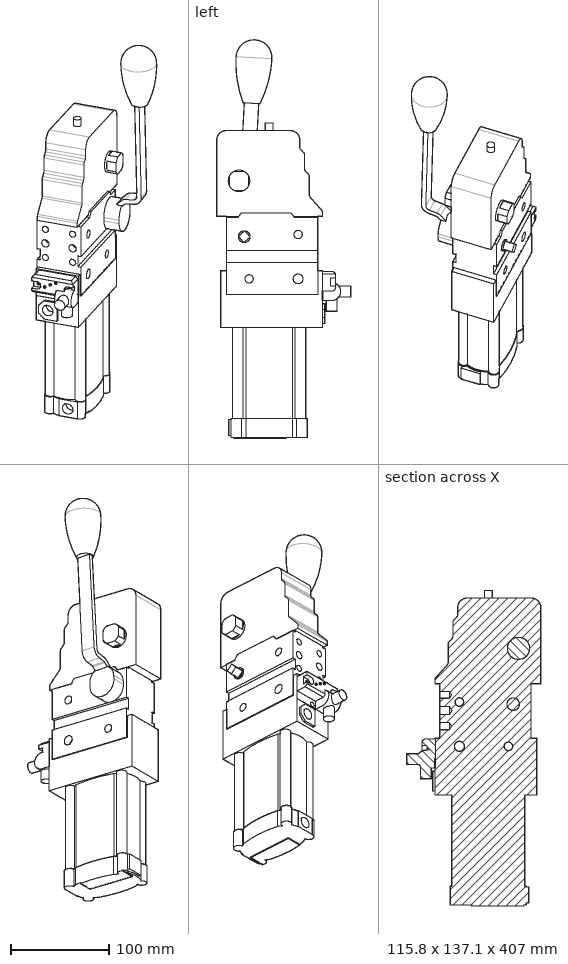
import cadquery as cq
import math


HEAD_HALF_X = 22.0
HEAD_BACK_Y = 53.6
HEAD_BOTTOM_Z = 226.7
HEAD_TOP_Z = 314.4
HEAD_CORNER_R = 10.0
HEAD_NOSE_Y = -54.5
HEAD_NOSE_Z = 232.3
STEP_FRONTS = (-31.5, -36.3, -41.2)
STEP_TOPS = (295.7, 273.6, 247.1)
STEP_R = 4.0
NOSE_R = 3.0
INDICATOR_D = 8.0
INDICATOR_TOP_Z = 322.0

BODY_BACK_Y = 43.7
BODY_FRONT_Y = -49.8
BODY_BOTTOM_Z = 147.0
CORE_HALF_X = 20.7
FACE_HALF_X = 24.2
FACE_TOP_Z = 225.4
SLOT_TOP_Z = 191.8
SLOT_BOTTOM_Z = 179.8
TONGUE_Z = 230.4
TONGUE_BACK_Y = 32.0
TONGUE_FRONT_Y = -26.0
TONGUE_SLOPE_Y = 3.8

TAP_D = 6.65
DOWEL_D = 8.0
MOUNT_HOLE_DEPTH = 10.0
DRILL_TIP_ANGLE = 118.0
FRONT_HOLE_X = 15.0
FRONT_HOLES = ((215.5, TAP_D), (199.5, DOWEL_D), (183.5, TAP_D))
SIDE_TAP_D = 8.5
SIDE_DOWEL_D = 10.0
SIDE_HOLES = (
    (-29.6, 208.2, SIDE_TAP_D),
    (20.4, 163.0, SIDE_TAP_D),
    (-29.6, 163.0, SIDE_DOWEL_D),
)

FLANGE_HALF_X = 23.2
FLANGE_BACK_Y = 49.5
FLANGE_FRONT_Y = -54.5
FLANGE_BOTTOM_Z = 113.3
FLANGE_TOP_Z = 171.4
SENSOR_SEAT_Y = -54.3
SENSOR_SEAT_Z = 141.0
CABLE_HOLE_D = 5.49
CABLE_HOLE_Z = 144.6
CABLE_HOLE_DEPTH = 6.0
PORT_D = 11.45
PORT_DEPTH = 10.0
PORT_X = -9.5
PORT_Z = 127.5
PORT_PAD_SIZE = 20.6
PORT_PAD_THICKNESS = 2.4
PORT_PAD_CHAMFER = 6.3

TUBE_HALF_X = 22.0
TUBE_HALF_Y = 37.5
TUBE_SIDE_HALF_X = 21.5
COLUMN_D = 11.0
BARREL_SIDE_HALF_Y = 23.8
BARREL_END_HALF_X = 11.5
BARREL_BULGE = 2.6
CAP_TOP_Z = 20.3
CAP_BOTTOM_Z = 1.0
CAP_HALF_Y = 38.9
CAP_PAD_X = (-4.5, 16.0)
CAP_PAD_FRONT_Y = -39.1
CAP_PORT_X = 5.2
CAP_PORT_Z = 10.5
CAP_REAR_PAD_Y = 41.2
CAP_REAR_PAD_Z = (3.0, 19.7)
FOOT_X = (3.5, TUBE_HALF_X)
FOOT_Y = (-17.0, 36.0)

ARM_Y = 30.7
ARM_Z = 263.0
ARM_D = 22.0
ARM_SQUARE = 19.4
ARM_HALF_LENGTH = 34.2

PIVOT_Y = 25.3
PIVOT_Z = 206.0
LEVER_TILT = 3.1
SHAFT_D = 12.0
SHAFT_SQUARE = SHAFT_D / math.sqrt(2)
SHAFT_SQUARE_X = -25.8
SHAFT_END_X = -36.0
COLLAR_D = 17.0
HUB_INNER_X = 25.2
HUB_OUTER_X = 41.9
HUB_R = 15.0
HUB_RISE = 4.0
STEM_X = 61.35
STEM_WIDTH = 15.0
STEM_THICKNESS = 5.0
STEM_BEND_Z = 236.6
STEM_BEND_R = 7.0
STEM_FOOT_BEND_R = 5.0
STEM_RAMP_ANGLE = 7.0
STEM_RAMP_LENGTH = 8.5
STEM_FOOT_ANGLE = 42.0
STEM_FOOT_LENGTH = 8.0
KNOB_R = 18.4
KNOB_CENTRE_Z = 388.85
KNOB_LENGTH = 46.5
KNOB_MID_DROP = 25.6
KNOB_MID_R = 15.6
KNOB_END_R = 8.7

COVER_HALF_X = 22.6
COVER_FRONT_Y = -68.0
COVER_BOTTOM_Z = 150.6
COVER_TOP_Z = 170.6
COVER_CHAMFER = 2.6
COVER_SCREW_X = 17.0
COVER_SCREW_Z = 159.8
SCREW_HEAD_D = 8.38
SCREW_RECESS_DEPTH = 5.2
SCREW_SOCKET_D = 4.13
SCREW_SOCKET_DEPTH = 2.0
LED_D = 2.5
LED_DEPTH = 1.0
LEDS = ((3.7, 166.0), (-2.4, 162.8), (-8.6, 159.3))
CONNECTOR_X = (4.5, COVER_HALF_X)
CONNECTOR_Y = -63.8
CONNECTOR_Z = 150.0
CONNECTOR_R = 9.2
PLUG_D = 11.45
PLUG_X = 14.4
PLUG_FRONT_Y = -83.5
PLUG_BOTTOM_Z = 129.7


def block(x_range, y_range, z_range):
    """Axis-aligned box between the given limits."""
    sizes = [max(r) - min(r) for r in (x_range, y_range, z_range)]
    corner = (min(x_range), min(y_range), min(z_range))
    return cq.Workplane("XY").box(*sizes, centered=False).translate(corner)


def rod(start, direction, diameter, length):
    """Round bar from a start point along a direction."""
    axis = cq.Vector(*direction)
    return cq.Workplane(cq.Solid.makeCylinder(diameter / 2, length, cq.Vector(*start), axis))


def drilled_hole(start, direction, diameter, depth):
    """Cutter for a blind hole with a conical drill tip."""
    axis = cq.Vector(*direction)
    tip_start = cq.Vector(*start) + axis * depth
    tip_length = diameter / 2 / math.tan(math.radians(DRILL_TIP_ANGLE / 2))
    tip = cq.Solid.makeCone(diameter / 2, 0, tip_length, tip_start, axis)
    return rod(start, direction, diameter, depth).union(cq.Workplane(tip))


def extrude_across(outline, half_width):
    """Extrude a Y-Z outline symmetrically about X = 0."""
    return cq.Workplane("YZ").polyline(outline).close().extrude(half_width, both=True)


def make_head():
    outline = [(HEAD_BACK_Y, HEAD_BOTTOM_Z), (HEAD_BACK_Y, HEAD_TOP_Z), (STEP_FRONTS[0], HEAD_TOP_Z)]
    step_edges = []
    for i in range(len(STEP_FRONTS) - 1):
        drop = STEP_FRONTS[i] - STEP_FRONTS[i + 1]
        step_edges.append((STEP_FRONTS[i], STEP_TOPS[i]))
        step_edges.append((STEP_FRONTS[i + 1], STEP_TOPS[i] - drop))
    nose_edges = [(STEP_FRONTS[-1], STEP_TOPS[-1]), (HEAD_NOSE_Y, HEAD_NOSE_Z)]
    outline += step_edges + nose_edges + [(HEAD_NOSE_Y, HEAD_BOTTOM_Z)]
    head = extrude_across(outline, HEAD_HALF_X)

    def round_edges(body, corners, radius):
        for y, z in corners:
            body = body.edges(cq.selectors.NearestToPointSelector((0, y, z))).fillet(radius)
        return body

    head = round_edges(head, outline[1:3], HEAD_CORNER_R)
    head = round_edges(head, step_edges, STEP_R)
    head = round_edges(head, nose_edges, NOSE_R)
    indicator = rod((0, 0, HEAD_TOP_Z), (0, 0, 1), INDICATOR_D, INDICATOR_TOP_Z - HEAD_TOP_Z)
    return head.union(indicator)


def make_mounting_body():
    y_range = (BODY_FRONT_Y, BODY_BACK_Y)
    core = block((-CORE_HALF_X, CORE_HALF_X), y_range, (BODY_BOTTOM_Z, HEAD_BOTTOM_Z))
    lower_faces = block((-FACE_HALF_X, FACE_HALF_X), y_range, (BODY_BOTTOM_Z, SLOT_BOTTOM_Z))
    upper_outline = [
        (BODY_BACK_Y, SLOT_TOP_Z),
        (BODY_BACK_Y, FACE_TOP_Z),
        (TONGUE_BACK_Y, FACE_TOP_Z),
        (TONGUE_BACK_Y - TONGUE_SLOPE_Y, TONGUE_Z),
        (TONGUE_FRONT_Y + TONGUE_SLOPE_Y, TONGUE_Z),
        (TONGUE_FRONT_Y, FACE_TOP_Z),
        (BODY_FRONT_Y, FACE_TOP_Z),
        (BODY_FRONT_Y, SLOT_TOP_Z),
    ]
    upper_faces = extrude_across(upper_outline, FACE_HALF_X)
    return core.union(lower_faces).union(upper_faces)


def make_flange():
    x_range = (-FLANGE_HALF_X, FLANGE_HALF_X)
    flange = block(x_range, (FLANGE_FRONT_Y, FLANGE_BACK_Y), (FLANGE_BOTTOM_Z, FLANGE_TOP_Z))
    seat = block(x_range, (FLANGE_FRONT_Y, SENSOR_SEAT_Y), (SENSOR_SEAT_Z, FLANGE_TOP_Z))
    pad_half = PORT_PAD_SIZE / 2
    pad = block(
        (PORT_X - pad_half, PORT_X + pad_half),
        (FLANGE_FRONT_Y - PORT_PAD_THICKNESS, FLANGE_FRONT_Y),
        (PORT_Z - pad_half, PORT_Z + pad_half),
    )
    pad = pad.edges("|Y and <X").chamfer(PORT_PAD_CHAMFER)
    port = rod((PORT_X, FLANGE_FRONT_Y - PORT_PAD_THICKNESS, PORT_Z), (0, 1, 0), PORT_D, PORT_DEPTH)
    cable_hole = rod((0, SENSOR_SEAT_Y, CABLE_HOLE_Z), (0, 1, 0), CABLE_HOLE_D, CABLE_HOLE_DEPTH)
    return flange.cut(seat).union(pad).cut(port).cut(cable_hole)


def cylinder_section(side_half_x, half_y, z_range):
    """Barrel with four bulged sides and a round column at each corner."""
    height = z_range[1] - z_range[0]
    column_x = TUBE_HALF_X - COLUMN_D / 2
    column_y = half_y - COLUMN_D / 2
    side_x = side_half_x - BARREL_BULGE
    end_y = half_y - BARREL_BULGE
    barrel = (
        cq.Workplane("XY", origin=(0, 0, z_range[0]))
        .moveTo(side_x, -BARREL_SIDE_HALF_Y)
        .threePointArc((side_half_x, 0), (side_x, BARREL_SIDE_HALF_Y))
        .lineTo(BARREL_END_HALF_X, end_y)
        .threePointArc((0, half_y), (-BARREL_END_HALF_X, end_y))
        .lineTo(-side_x, BARREL_SIDE_HALF_Y)
        .threePointArc((-side_half_x, 0), (-side_x, -BARREL_SIDE_HALF_Y))
        .lineTo(-BARREL_END_HALF_X, -end_y)
        .threePointArc((0, -half_y), (BARREL_END_HALF_X, -end_y))
        .close()
        .extrude(height)
    )
    for x in (-column_x, column_x):
        for y in (-column_y, column_y):
            barrel = barrel.union(rod((x, y, z_range[0]), (0, 0, 1), COLUMN_D, height))
    return barrel


def make_cylinder():
    tube = cylinder_section(TUBE_SIDE_HALF_X, TUBE_HALF_Y, (CAP_TOP_Z, FLANGE_BOTTOM_Z))
    cap = cylinder_section(TUBE_HALF_X, CAP_HALF_Y, (CAP_BOTTOM_Z, CAP_TOP_Z))
    front_pad = block(CAP_PAD_X, (CAP_PAD_FRONT_Y, 0), (CAP_BOTTOM_Z, CAP_TOP_Z))
    rear_pad = block(CAP_PAD_X, (0, CAP_REAR_PAD_Y), CAP_REAR_PAD_Z)
    foot = block(FOOT_X, FOOT_Y, (0, CAP_BOTTOM_Z))
    foot = foot.intersect(cylinder_section(TUBE_HALF_X, CAP_HALF_Y, (0, CAP_BOTTOM_Z)))
    port = rod((CAP_PORT_X, CAP_PAD_FRONT_Y, CAP_PORT_Z), (0, 1, 0), PORT_D, PORT_DEPTH)
    return tube.union(cap).union(front_pad).union(rear_pad).union(foot).cut(port)


def make_housing():
    housing = make_head().union(make_mounting_body()).union(make_flange()).union(make_cylinder())
    for z, diameter in FRONT_HOLES:
        for x in (-FRONT_HOLE_X, FRONT_HOLE_X):
            housing = housing.cut(drilled_hole((x, BODY_FRONT_Y, z), (0, 1, 0), diameter, MOUNT_HOLE_DEPTH))
    for y, z, diameter in SIDE_HOLES:
        for side in (-1, 1):
            start = (side * FACE_HALF_X, y, z)
            housing = housing.cut(drilled_hole(start, (-side, 0, 0), diameter, MOUNT_HOLE_DEPTH))
    arm_bore = rod((-FACE_HALF_X, ARM_Y, ARM_Z), (1, 0, 0), ARM_D, 2 * FACE_HALF_X)
    lever_bore = rod((-FACE_HALF_X, PIVOT_Y, PIVOT_Z), (1, 0, 0), SHAFT_D, 2 * FACE_HALF_X)
    return housing.cut(arm_bore).cut(lever_bore)


def make_arm_shaft():
    """Round shaft with both ends milled to a square with rounded corners."""
    shaft = rod((-ARM_HALF_LENGTH, ARM_Y, ARM_Z), (1, 0, 0), ARM_D, 2 * ARM_HALF_LENGTH)
    journal = rod((-FACE_HALF_X, ARM_Y, ARM_Z), (1, 0, 0), ARM_D, 2 * FACE_HALF_X)
    square = cq.Workplane("XY").box(2 * ARM_HALF_LENGTH, ARM_SQUARE, ARM_SQUARE).translate((0, ARM_Y, ARM_Z))
    return shaft.intersect(square).union(journal)


def make_stem():
    """Flat bar that runs down from the knob and cranks inwards to the hub."""
    ramp = math.radians(STEM_RAMP_ANGLE)
    foot = math.radians(STEM_FOOT_ANGLE)

    def on_upper_bend(angle):
        """Point on the upper bend where the bar slopes at this angle below level."""
        x = STEM_X - STEM_BEND_R + STEM_BEND_R * math.sin(angle)
        return (x, STEM_BEND_Z - STEM_BEND_R * math.cos(angle))

    upper_bend_end = on_upper_bend(ramp)
    foot_bend_start = (
        upper_bend_end[0] - STEM_RAMP_LENGTH * math.cos(ramp),
        upper_bend_end[1] - STEM_RAMP_LENGTH * math.sin(ramp),
    )

    def on_foot_bend(angle):
        """Point on the lower bend where the bar slopes at this angle below level."""
        x = foot_bend_start[0] - STEM_FOOT_BEND_R * (math.sin(angle) - math.sin(ramp))
        return (x, foot_bend_start[1] - STEM_FOOT_BEND_R * (math.cos(ramp) - math.cos(angle)))

    foot_bend_end = on_foot_bend(foot)
    foot_end = (
        foot_bend_end[0] - STEM_FOOT_LENGTH * math.cos(foot),
        foot_bend_end[1] - STEM_FOOT_LENGTH * math.sin(foot),
    )
    path = (
        cq.Workplane("XZ", origin=(0, PIVOT_Y, 0))
        .moveTo(STEM_X, KNOB_CENTRE_Z)
        .lineTo(STEM_X, STEM_BEND_Z)
        .threePointArc(on_upper_bend((ramp + math.pi / 2) / 2), upper_bend_end)
        .lineTo(*foot_bend_start)
        .threePointArc(on_foot_bend((ramp + foot) / 2), foot_bend_end)
        .lineTo(*foot_end)
    )
    section = cq.Workplane("XY", origin=(STEM_X, PIVOT_Y, KNOB_CENTRE_Z)).rect(STEM_THICKNESS, STEM_WIDTH)
    return section.sweep(path)


def make_knob():
    knob = (
        cq.Workplane("XZ")
        .moveTo(0, KNOB_R)
        .threePointArc((KNOB_R * math.sin(math.pi / 4), KNOB_R * math.cos(math.pi / 4)), (KNOB_R, 0))
        .threePointArc((KNOB_MID_R, -KNOB_MID_DROP), (KNOB_END_R, -KNOB_LENGTH))
        .lineTo(0, -KNOB_LENGTH)
        .close()
        .revolve(360, (0, 0), (0, 1))
    )
    return knob.translate((STEM_X, PIVOT_Y, KNOB_CENTRE_Z))


def make_lever():
    """Hub, cranked stem and knob on one cross shaft, tilted about the pivot axis."""
    hub_length = HUB_OUTER_X - HUB_INNER_X
    hub = block(
        (HUB_INNER_X, HUB_OUTER_X),
        (PIVOT_Y - HUB_R, PIVOT_Y + HUB_R),
        (PIVOT_Z, PIVOT_Z + HUB_RISE),
    )
    for z in (PIVOT_Z, PIVOT_Z + HUB_RISE):
        hub = hub.union(rod((HUB_INNER_X, PIVOT_Y, z), (1, 0, 0), 2 * HUB_R, hub_length))
    collar = rod((FACE_HALF_X, PIVOT_Y, PIVOT_Z), (1, 0, 0), COLLAR_D, HUB_INNER_X - FACE_HALF_X)
    shaft = rod((SHAFT_SQUARE_X, PIVOT_Y, PIVOT_Z), (1, 0, 0), SHAFT_D, HUB_INNER_X - SHAFT_SQUARE_X)
    square_end = (
        cq.Workplane("YZ", origin=(SHAFT_END_X, PIVOT_Y, PIVOT_Z))
        .rect(SHAFT_SQUARE, SHAFT_SQUARE)
        .extrude(SHAFT_SQUARE_X - SHAFT_END_X)
        .rotate((0, PIVOT_Y, PIVOT_Z), (1, PIVOT_Y, PIVOT_Z), 45)
    )
    lever = hub.union(collar).union(shaft).union(square_end).union(make_stem()).union(make_knob())
    return lever.rotate((0, PIVOT_Y, PIVOT_Z), (1, PIVOT_Y, PIVOT_Z), LEVER_TILT)


def make_sensor():
    """Bevelled cover with recessed screws and an angled plug connector."""
    cover = block(
        (-COVER_HALF_X, COVER_HALF_X),
        (COVER_FRONT_Y, SENSOR_SEAT_Y),
        (COVER_BOTTOM_Z, COVER_TOP_Z),
    )
    cover = cover.edges("(>Z and (not >Y)) or (<Y and <Z)").chamfer(COVER_CHAMFER)
    for side in (-1, 1):
        x = side * COVER_SCREW_X
        recess = rod((x, COVER_FRONT_Y, COVER_SCREW_Z), (0, 1, 0), SCREW_HEAD_D, SCREW_RECESS_DEPTH)
        open_side = block(
            (x, side * COVER_HALF_X),
            (COVER_FRONT_Y, COVER_FRONT_Y + SCREW_RECESS_DEPTH),
            (COVER_SCREW_Z - SCREW_HEAD_D / 2, COVER_SCREW_Z + SCREW_HEAD_D / 2),
        )
        socket_start = (x, COVER_FRONT_Y + SCREW_RECESS_DEPTH, COVER_SCREW_Z)
        socket = rod(socket_start, (0, 1, 0), SCREW_SOCKET_D, SCREW_SOCKET_DEPTH)
        cover = cover.cut(recess).cut(open_side).cut(socket)
    for x, z in LEDS:
        cover = cover.cut(rod((x, COVER_FRONT_Y, z), (0, 1, 0), LED_D, LED_DEPTH))

    connector = block(
        CONNECTOR_X,
        (CONNECTOR_Y, FLANGE_FRONT_Y),
        (CONNECTOR_Z - CONNECTOR_R, CONNECTOR_Z + CONNECTOR_R),
    )
    barrel_start = (CONNECTOR_X[0], CONNECTOR_Y, CONNECTOR_Z)
    barrel = rod(barrel_start, (1, 0, 0), 2 * CONNECTOR_R, CONNECTOR_X[1] - CONNECTOR_X[0])
    plug_start = (PLUG_X, CONNECTOR_Y, CONNECTOR_Z)
    front_plug = rod(plug_start, (0, -1, 0), PLUG_D, CONNECTOR_Y - PLUG_FRONT_Y)
    lower_plug = rod(plug_start, (0, 0, -1), PLUG_D, CONNECTOR_Z - PLUG_BOTTOM_Z)
    return cover.union(connector).union(barrel).union(front_plug).union(lower_plug)


housing = make_housing()
arm_shaft = make_arm_shaft()
lever = make_lever()
sensor = make_sensor()

bodies = [housing, arm_shaft, lever, sensor]
result = cq.Compound.makeCompound([body.solids().val() for body in bodies])